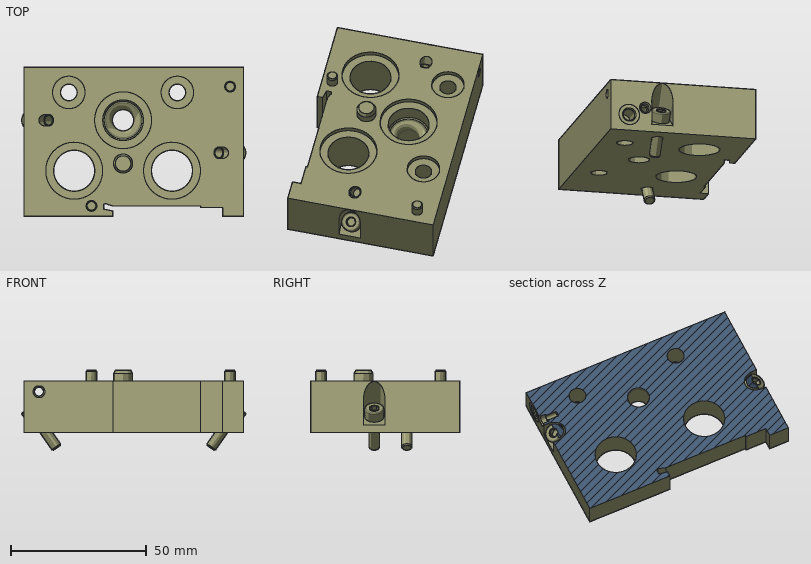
import cadquery as cq
import math

BLOCK_LENGTH = 81.0
BLOCK_WIDTH = 55.0
BLOCK_HEIGHT = 19.0

FRONT_RECESS_START = 32.8
FRONT_STEP_X = 65.2
FRONT_RECESS_END = 73.3
FRONT_RECESS_DEPTH = 3.8
FRONT_STEP_DEPTH = 3.2
UNDERCUT_LIP = 2.1
UNDERCUT_LENGTH = 3.3
UNDERCUT_LIP_RISE = 0.7
UNDERCUT_ROOF_RISE = 0.9
UNDERCUT_CORNER = 0.6

PORT_CENTRE_X = 36.6
CENTRE_PORT_Y = 35.4
SIDE_PORT_SPACING = 36.0
SIDE_PORT_Y = 16.85
PORT_SEAT_DIAMETER = 21.0
PORT_SEAT_DEPTH = 1.65
PORT_BORE_DIAMETER = 15.0
CENTRE_BORE_DEPTH = 7.3
CENTRE_FLOOR_DIAMETER = 14.0
CENTRE_FLOOR_DEPTH = 7.6
CENTRE_HOLE_DIAMETER = 7.8
CENTRE_HOLE_ROUNDING = 2.6

MOUNT_SPACING = 40.0
MOUNT_Y = 45.7
MOUNT_HOLE_DIAMETER = 6.0
MOUNT_SEAT_DIAMETER = 12.0
MOUNT_SEAT_DEPTH = 1.65

STUD_HEIGHT = 4.0
PIN_DIAMETER = 4.0
PIN_TIP_DIAMETER = 3.2
PIN_TIP_HEIGHT = 0.6
PIN_CENTRES = [(24.95, 3.9), (76.0, 47.8)]
KEY_DIAMETER = 7.0
KEY_TIP_DIAMETER = 5.7
KEY_TIP_HEIGHT = 1.2
KEY_Y = 19.5

CROSS_HOLE_X = 5.6
CROSS_HOLE_Z = 15.0
CROSS_HOLE_DIAMETER = 3.2
CROSS_HOLE_MOUTH = 4.4
CROSS_HOLE_MOUTH_DEPTH = 8.3

PLUG_PORT_Y = 48.0
PLUG_PORT_Z = 6.0
PLUG_PORT_FACE_DIAMETER = 7.8
PLUG_PORT_FACE_DEPTH = 0.1
PLUG_PORT_MOUTH = 5.1
PLUG_PORT_DIAMETER = 4.3
PLUG_PORT_DEPTH = 8.3
SMALL_PORT_Y = 42.0
SMALL_PORT_Z = 9.0
SMALL_PORT_MOUTH = 4.3
SMALL_PORT_DIAMETER = 3.2
SMALL_PORT_STEP_DEPTH = 2.5
SMALL_PORT_CORE_DIAMETER = 2.15
SMALL_PORT_DEPTH = 6.6

SCREW_ANGLE = 35.0
SCREW_EXIT_X = 8.3
LEFT_SCREW_Y = 35.4
RIGHT_SCREW_Y = 23.5
SEAT_HEIGHT = 5.8
HEAD_DIAMETER = 7.0
HEAD_HEIGHT = 4.0
HEAD_ROUNDING = 0.4
SOCKET_ACROSS_FLATS = 3.0
SOCKET_DEPTH = 2.0
SOCKET_MOUTH_DIAMETER = 3.55
SOCKET_MOUTH_DEPTH = 0.25
SHANK_DIAMETER = 4.0
SHANK_TIP_DIAMETER = 3.2
SHANK_TIP_HEIGHT = 0.5
SHANK_LENGTH = 14.0
HEAD_POCKET_DIAMETER = 8.0
CLEARANCE_DIAMETER = 4.3

TAPPED_MOUTH_DIAMETER = 4.4
TAPPED_MOUTH_DEPTH = 1.6
TAPPED_CORE_DIAMETER = 3.5
TAPPED_DEPTH = 9.9

REACH = 33.05

angle = math.radians(SCREW_ANGLE)
seat_x = SCREW_EXIT_X - SEAT_HEIGHT * math.tan(angle)


def inclined_plane(x, y, z):
    """Plane normal to the left screw axis: normal points up to the head, local X along +Y."""
    return cq.Plane(
        origin=(x, y, z),
        xDir=(0, 1, 0),
        normal=(-math.sin(angle), 0, math.cos(angle)),
    )


def at_both_ends(shape_at):
    """Left end shape and the one mirrored to the right end, each at its own Y."""
    left = shape_at(LEFT_SCREW_Y)
    right = shape_at(RIGHT_SCREW_Y).mirror("YZ", (BLOCK_LENGTH / 2, 0, 0))
    return [left, right]


def revolved(plane, profile):
    """Solid of revolution about the plane's normal from (radius, height) points."""
    outline = [(0, profile[0][1]), *profile, (0, profile[-1][1])]
    axis_plane = cq.Plane(origin=plane.origin, xDir=plane.xDir, normal=-plane.yDir)
    return cq.Workplane(axis_plane).polyline(outline).close().revolve(360, (0, 0, 0), (0, 1, 0))


def block_body():
    undercut_x = FRONT_RECESS_START - UNDERCUT_LENGTH
    outline = [
        (0, 0),
        (FRONT_RECESS_START, 0),
        (FRONT_RECESS_START, UNDERCUT_LIP),
        (undercut_x, UNDERCUT_LIP + UNDERCUT_LIP_RISE),
        (undercut_x, FRONT_RECESS_DEPTH + UNDERCUT_ROOF_RISE - UNDERCUT_CORNER / 2),
        (undercut_x + UNDERCUT_CORNER, FRONT_RECESS_DEPTH + UNDERCUT_ROOF_RISE),
        (FRONT_RECESS_START, FRONT_RECESS_DEPTH),
        (FRONT_STEP_X, FRONT_RECESS_DEPTH),
        (FRONT_STEP_X, FRONT_STEP_DEPTH),
        (FRONT_RECESS_END, FRONT_STEP_DEPTH),
        (FRONT_RECESS_END, 0),
        (BLOCK_LENGTH, 0),
        (BLOCK_LENGTH, BLOCK_WIDTH),
        (0, BLOCK_WIDTH),
    ]
    return cq.Workplane("XY").polyline(outline).close().extrude(BLOCK_HEIGHT)


def counterbored_pair(spacing, y, hole, seat, seat_depth):
    """Two counterbored through holes, symmetric about the port centre line."""
    profile = [
        (seat / 2, 0),
        (seat / 2, -seat_depth),
        (hole / 2, -seat_depth),
        (hole / 2, -BLOCK_HEIGHT),
    ]
    holes = []
    for side in (-1, 1):
        plane = cq.Plane(origin=(PORT_CENTRE_X + side * spacing / 2, y, BLOCK_HEIGHT))
        holes.append(revolved(plane, profile))
    return holes


def centre_port():
    """Counterbored bore with a bevelled floor edge; the floor rounds over into the central hole."""
    hole_radius = CENTRE_HOLE_DIAMETER / 2
    rounding_end = CENTRE_FLOOR_DEPTH + CENTRE_HOLE_ROUNDING
    sine = math.sin(math.pi / 4)
    rounding_middle = (
        hole_radius + CENTRE_HOLE_ROUNDING * (1 - sine),
        -rounding_end + CENTRE_HOLE_ROUNDING * sine,
    )
    plane = cq.Plane(origin=(PORT_CENTRE_X, CENTRE_PORT_Y, BLOCK_HEIGHT), xDir=(1, 0, 0), normal=(0, -1, 0))
    return (
        cq.Workplane(plane)
        .lineTo(PORT_SEAT_DIAMETER / 2, 0)
        .lineTo(PORT_SEAT_DIAMETER / 2, -PORT_SEAT_DEPTH)
        .lineTo(PORT_BORE_DIAMETER / 2, -PORT_SEAT_DEPTH)
        .lineTo(PORT_BORE_DIAMETER / 2, -CENTRE_BORE_DEPTH)
        .lineTo(CENTRE_FLOOR_DIAMETER / 2, -CENTRE_FLOOR_DEPTH)
        .lineTo(hole_radius + CENTRE_HOLE_ROUNDING, -CENTRE_FLOOR_DEPTH)
        .threePointArc(rounding_middle, (hole_radius, -rounding_end))
        .lineTo(hole_radius, -BLOCK_HEIGHT)
        .lineTo(0, -BLOCK_HEIGHT)
        .close()
        .revolve(360, (0, 0, 0), (0, 1, 0))
    )


def stud(x, y, diameter, tip_diameter, tip_height):
    """Round stud with a tapered tip, standing on the top face."""
    plane = cq.Plane(origin=(x, y, BLOCK_HEIGHT))
    profile = [
        (diameter / 2, 0),
        (diameter / 2, STUD_HEIGHT - tip_height),
        (tip_diameter / 2, STUD_HEIGHT),
    ]
    return revolved(plane, profile)


def cross_hole():
    """Hole through the full width, wider at the front, with a 45 degree shoulder."""
    plane = cq.Plane(origin=(CROSS_HOLE_X, 0, CROSS_HOLE_Z), xDir=(1, 0, 0), normal=(0, -1, 0))
    shoulder_length = (CROSS_HOLE_MOUTH - CROSS_HOLE_DIAMETER) / 2
    profile = [
        (CROSS_HOLE_MOUTH / 2, 0),
        (CROSS_HOLE_MOUTH / 2, -CROSS_HOLE_MOUTH_DEPTH),
        (CROSS_HOLE_DIAMETER / 2, -(CROSS_HOLE_MOUTH_DEPTH + shoulder_length)),
        (CROSS_HOLE_DIAMETER / 2, -BLOCK_WIDTH),
    ]
    return revolved(plane, profile)


def plug_port():
    """Blind port with a shallow spot face and a 45 degree countersink."""
    plane = cq.Plane(origin=(0, PLUG_PORT_Y, PLUG_PORT_Z), xDir=(0, 1, 0), normal=(-1, 0, 0))
    mouth_depth = PLUG_PORT_FACE_DEPTH + (PLUG_PORT_MOUTH - PLUG_PORT_DIAMETER) / 2
    profile = [
        (PLUG_PORT_FACE_DIAMETER / 2, 0),
        (PLUG_PORT_FACE_DIAMETER / 2, -PLUG_PORT_FACE_DEPTH),
        (PLUG_PORT_MOUTH / 2, -PLUG_PORT_FACE_DEPTH),
        (PLUG_PORT_DIAMETER / 2, -mouth_depth),
        (PLUG_PORT_DIAMETER / 2, -PLUG_PORT_DEPTH),
    ]
    return revolved(plane, profile)


def small_port():
    """Blind stepped port with a 45 degree countersink."""
    plane = cq.Plane(origin=(0, SMALL_PORT_Y, SMALL_PORT_Z), xDir=(0, 1, 0), normal=(-1, 0, 0))
    mouth_depth = (SMALL_PORT_MOUTH - SMALL_PORT_DIAMETER) / 2
    profile = [
        (SMALL_PORT_MOUTH / 2, 0),
        (SMALL_PORT_DIAMETER / 2, -mouth_depth),
        (SMALL_PORT_DIAMETER / 2, -SMALL_PORT_STEP_DEPTH),
        (SMALL_PORT_CORE_DIAMETER / 2, -SMALL_PORT_STEP_DEPTH),
        (SMALL_PORT_CORE_DIAMETER / 2, -SMALL_PORT_DEPTH),
    ]
    return revolved(plane, profile)


def screw_pocket(y):
    """U-shaped head pocket open to the left end face, with the shank hole through its floor."""
    plane = inclined_plane(seat_x, y, SEAT_HEIGHT)
    pocket = cq.Workplane(plane).circle(HEAD_POCKET_DIAMETER / 2).extrude(REACH)
    channel = (
        cq.Workplane(plane)
        .center(0, REACH / 2)
        .rect(HEAD_POCKET_DIAMETER, REACH)
        .extrude(REACH)
    )
    shank_hole = cq.Workplane(plane).circle(CLEARANCE_DIAMETER / 2).extrude(-REACH)
    return pocket.union(channel).union(shank_hole)


def tapped_hole(y):
    """Hole parallel to the screw, entering the top face directly above the screw exit."""
    plane = inclined_plane(SCREW_EXIT_X, y, BLOCK_HEIGHT)
    profile = [
        (TAPPED_MOUTH_DIAMETER / 2, TAPPED_MOUTH_DIAMETER),
        (TAPPED_MOUTH_DIAMETER / 2, -TAPPED_MOUTH_DEPTH),
        (TAPPED_CORE_DIAMETER / 2, -TAPPED_MOUTH_DEPTH),
        (TAPPED_CORE_DIAMETER / 2, -TAPPED_DEPTH),
    ]
    return revolved(plane, profile)


def valve_block():
    body = block_body()
    side_ports = counterbored_pair(
        SIDE_PORT_SPACING, SIDE_PORT_Y, PORT_BORE_DIAMETER, PORT_SEAT_DIAMETER, PORT_SEAT_DEPTH
    )
    mounting_holes = counterbored_pair(
        MOUNT_SPACING, MOUNT_Y, MOUNT_HOLE_DIAMETER, MOUNT_SEAT_DIAMETER, MOUNT_SEAT_DEPTH
    )
    cutters = [*side_ports, *mounting_holes, centre_port(), cross_hole(), plug_port(), small_port()]
    cutters += at_both_ends(screw_pocket) + at_both_ends(tapped_hole)
    for cutter in cutters:
        body = body.cut(cutter)
    for x, y in PIN_CENTRES:
        body = body.union(stud(x, y, PIN_DIAMETER, PIN_TIP_DIAMETER, PIN_TIP_HEIGHT))
    return body.union(stud(PORT_CENTRE_X, KEY_Y, KEY_DIAMETER, KEY_TIP_DIAMETER, KEY_TIP_HEIGHT))


def cap_screw(y):
    """Socket head screw seated on the pocket floor, with a round mouth to its hexagon socket."""
    plane = inclined_plane(seat_x, y, SEAT_HEIGHT)
    head = cq.Workplane(plane).circle(HEAD_DIAMETER / 2).extrude(HEAD_HEIGHT)
    head = head.faces(cq.selectors.DirectionMinMaxSelector(plane.zDir)).edges().fillet(HEAD_ROUNDING)
    shank_profile = [
        (SHANK_DIAMETER / 2, 0),
        (SHANK_DIAMETER / 2, -(SHANK_LENGTH - SHANK_TIP_HEIGHT)),
        (SHANK_TIP_DIAMETER / 2, -SHANK_LENGTH),
    ]
    across_corners = SOCKET_ACROSS_FLATS / math.cos(math.pi / 6)
    socket = (
        cq.Workplane(plane)
        .workplane(offset=HEAD_HEIGHT - SOCKET_DEPTH)
        .polygon(6, across_corners)
        .extrude(SOCKET_DEPTH)
    )
    mouth = (
        cq.Workplane(plane)
        .workplane(offset=HEAD_HEIGHT - SOCKET_MOUTH_DEPTH)
        .circle(SOCKET_MOUTH_DIAMETER / 2)
        .extrude(SOCKET_MOUTH_DEPTH)
    )
    return head.union(revolved(plane, shank_profile)).cut(socket.union(mouth))


block = valve_block()
screws = at_both_ends(cap_screw)
result = cq.Compound.makeCompound([block.val(), *[screw.val() for screw in screws]])